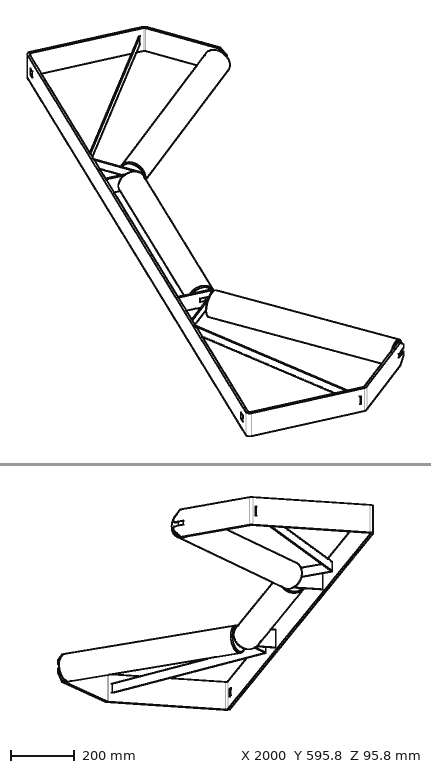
import cadquery as cq
import math

FRAME_LENGTH = 2000.0
FRAME_HEIGHT = 90.0
FRAME_THICKNESS = 8.0
FRAME_BEND_RADIUS = 15.0
UPRIGHT_TOP = 395.0
ARM_AXIS_DISTANCE = 258.0
ARM_TIP_CHAMFER = 25.0

MOUNT_HOLE_INSET = 48.0
MOUNT_HOLE_HEIGHT = 25.0
MOUNT_HOLE_WIDTH = 18.0

ROLLER_DIAMETER = 88.0
ROLLER_LENGTH = 640.0
ROLLER_END_GAP = 5.0
ROLLER_CHAMFER = 5.0
SHAFT_DIAMETER = 20.0
SHAFT_FLAT_WIDTH = 12.0
CENTRE_AXIS_Y = 100.0
AXIS_DROP = 6.8
TILT = math.radians(45)

SLOT_WIDTH = 15.0
TIP_REACH = 25.0

POST_HEIGHT = 58.0
POST_THICKNESS = 5.0

BRACE_HEIGHT = 30.0
BRACE_THICKNESS = 5.0
BRACE_BEND_RADIUS = 10.0
BRACE_TOP_Y = 378.0

HALF_LENGTH = FRAME_LENGTH / 2
UP_ARM = cq.Vector(math.cos(TILT), math.sin(TILT))
INWARD = cq.Vector(math.sin(TILT), -math.cos(TILT))
ALONG_Y = cq.Vector(0, 1)
UPWARD = cq.Vector(0, 0, 1)
DROP = UPWARD * -AXIS_DROP
SPAN_BETWEEN_PLATES = ROLLER_LENGTH + 2 * ROLLER_END_GAP
FRAME_CORNER = cq.Vector(-HALF_LENGTH, 0)
ARM_CORNER = cq.Vector(-HALF_LENGTH, UPRIGHT_TOP)
ARM_AXIS = ARM_CORNER + UP_ARM * ARM_AXIS_DISTANCE
BRACE_AXIS = ARM_AXIS + INWARD * (FRAME_THICKNESS + SPAN_BETWEEN_PLATES + BRACE_THICKNESS)
POST_AXIS = cq.Vector(-SPAN_BETWEEN_PLATES / 2 - POST_THICKNESS, CENTRE_AXIS_Y) + DROP


def left_normal(start, end):
    """Unit normal on the left of the line from start to end."""
    direction = (end - start).normalized()
    return cq.Vector(-direction.y, direction.x)


def bent_strip(points, thickness, height, bend_radius):
    """Strip centred on Z = 0, with its outer face along the points and its material to their left."""
    normals = [left_normal(start, end) for start, end in zip(points, points[1:])]
    before = [normals[0]] + normals
    after = normals + [normals[-1]]
    inner = [
        point + (n1 + n2) * (thickness / (1 + n1.dot(n2)))
        for point, n1, n2 in zip(points, before, after)
    ]
    outline = [(p.x, p.y) for p in points + inner[::-1]]
    body = cq.Workplane("XY").polyline(outline).close().extrude(height / 2, both=True)
    for bends, radius in ((points[1:-1], bend_radius), (inner[1:-1], bend_radius - thickness)):
        for bend in bends:
            body = body.edges(cq.NearestToPointSelector((bend.x, bend.y, 0))).fillet(radius)
    return body


def plate_plane(axis, up):
    """Plane on a plate's outer face: origin on the shaft axis, X towards the plate's tip."""
    return cq.Plane(origin=axis, xDir=up, normal=up.cross(UPWARD))


def shaft_slot(axis, up, thickness):
    """Slot that takes the flatted shaft, open at the plate's tip."""
    slot_bottom = -SHAFT_DIAMETER / 2
    slot_length = TIP_REACH - slot_bottom
    return (
        cq.Workplane(plate_plane(axis, up))
        .center(slot_bottom + slot_length / 2, 0)
        .rect(slot_length, SLOT_WIDTH)
        .extrude(thickness)
    )


def arm_tip_corners():
    """Two triangles that bevel the corners of the left arm's tip."""
    half_height = FRAME_HEIGHT / 2
    corners = cq.Workplane(plate_plane(ARM_AXIS, UP_ARM))
    for side in (-1, 1):
        corners = corners.polyline([
            (TIP_REACH, side * half_height),
            (TIP_REACH - ARM_TIP_CHAMFER, side * half_height),
            (TIP_REACH, side * (half_height - ARM_TIP_CHAMFER)),
        ]).close()
    return corners.extrude(FRAME_THICKNESS)


def both_sides(body):
    """The body and its mirror image in the plane X = 0."""
    return [body, body.mirror("YZ")]


def make_brace():
    """Brace from the upright, down to the base and up to the lower end of the tilted roller."""
    top = cq.Vector(-HALF_LENGTH, BRACE_TOP_Y)
    bend = BRACE_AXIS - UP_ARM * ((BRACE_AXIS.y - FRAME_THICKNESS) / UP_ARM.y)
    turn = UP_ARM.getAngle(bend - top)
    lean = TILT - turn / 2
    drop = BRACE_BEND_RADIUS * (math.cos(lean) / math.cos(turn / 2) - 1)
    bend -= UP_ARM * (drop / UP_ARM.y)
    tip = BRACE_AXIS + UP_ARM * TIP_REACH
    brace = bent_strip([top, bend, tip], BRACE_THICKNESS, BRACE_HEIGHT, BRACE_BEND_RADIUS)
    return brace.cut(shaft_slot(BRACE_AXIS + DROP, UP_ARM, -BRACE_THICKNESS))


def make_frame(braces):
    """Frame with slotted arm tips, mounting holes and openings for the brace ends."""
    arm_tip = ARM_AXIS + UP_ARM * TIP_REACH
    left = [arm_tip, ARM_CORNER, FRAME_CORNER]
    right = [cq.Vector(-point.x, point.y) for point in reversed(left)]
    frame = bent_strip(left + right, FRAME_THICKNESS, FRAME_HEIGHT, FRAME_BEND_RADIUS)
    slot = shaft_slot(ARM_AXIS, UP_ARM, FRAME_THICKNESS)
    for cutter in both_sides(slot) + both_sides(arm_tip_corners()) + braces:
        frame = frame.cut(cutter)
    mount_x = HALF_LENGTH - MOUNT_HOLE_INSET
    mount_holes = (
        cq.Workplane("XZ")
        .pushPoints([(-mount_x, 0), (mount_x, 0)])
        .rect(MOUNT_HOLE_WIDTH, MOUNT_HOLE_HEIGHT)
        .extrude(-FRAME_THICKNESS)
    )
    return frame.cut(mount_holes)


def make_post():
    """Plate standing on the base, with a slotted tip."""
    length = CENTRE_AXIS_Y + TIP_REACH - FRAME_THICKNESS
    post = (
        cq.Workplane(plate_plane(POST_AXIS, ALONG_Y))
        .center(TIP_REACH - length / 2, 0)
        .rect(length, POST_HEIGHT)
        .extrude(POST_THICKNESS)
    )
    return post.cut(shaft_slot(POST_AXIS, ALONG_Y, POST_THICKNESS))


def make_roller(start, end, up, shell_offset):
    """Roller on a shaft that runs from start to end, with the shaft's flats facing up and down."""
    plane = cq.Plane(origin=start, xDir=up, normal=end - start)
    shaft_length = (end - start).Length
    flats = cq.Workplane(plane).rect(SHAFT_DIAMETER, SHAFT_FLAT_WIDTH).extrude(shaft_length)
    shaft = cq.Workplane(plane).circle(SHAFT_DIAMETER / 2).extrude(shaft_length).intersect(flats)
    shell = (
        cq.Workplane(plane)
        .workplane(offset=shell_offset)
        .circle(ROLLER_DIAMETER / 2)
        .extrude(ROLLER_LENGTH)
        .edges()
        .chamfer(ROLLER_CHAMFER)
    )
    return shell.union(shaft)


def make_rollers():
    """Centre roller between the posts, and one tilted roller on each side."""
    centre_end = cq.Vector(-POST_AXIS.x, POST_AXIS.y, POST_AXIS.z)
    centre = make_roller(POST_AXIS, centre_end, ALONG_Y, POST_THICKNESS + ROLLER_END_GAP)
    tilted = make_roller(ARM_AXIS, BRACE_AXIS + DROP, UP_ARM, FRAME_THICKNESS + ROLLER_END_GAP)
    return [centre] + both_sides(tilted)


braces = both_sides(make_brace())
frame = make_frame(braces)
posts = both_sides(make_post())
rollers = make_rollers()

bodies = [frame] + posts + braces + rollers
result = cq.Compound.makeCompound([body.val() for body in bodies])